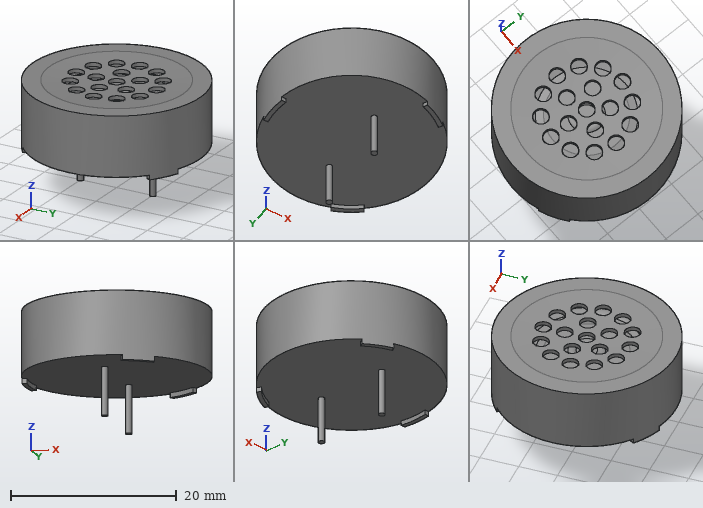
import cadquery as cq
import math

OUTER_RADIUS = 11.5
HOUSING_HEIGHT = 8.0

DISH_RADIUS = 9.15
DISH_DEPTH = 0.23
GRILLE_THICKNESS = 0.5

HOLE_DIAMETER = 2.0
INNER_RING_RADIUS = 2.83
INNER_RING_COUNT = 5
OUTER_RING_RADIUS = 5.6
OUTER_RING_COUNT = 12
RING_START_ANGLE = -90.0

DIAPHRAGM_DEPTH = 2.16
CENTRE_RIDGE_INNER_RADIUS = 1.29
CENTRE_RIDGE_OUTER_RADIUS = 2.28
CENTRE_RIDGE_RISE = 0.15
GROOVE_INNER_RADIUS = 5.2
GROOVE_BOTTOM_RADIUS = 6.19
GROOVE_OUTER_RADIUS = 7.13
GROOVE_DEPTH = 0.15
OUTER_RIDGE_OUTER_RADIUS = 8.4
OUTER_RIDGE_RISE = 0.18

FOOT_COUNT = 3
FOOT_FIRST_ANGLE = 60.0
FOOT_WIDTH = 4.0
FOOT_HEIGHT = 0.6
FOOT_INNER_RADIUS = 10.9

PIN_DIAMETER = 0.8
PIN_LENGTH = 6.0
PIN_SPACING = 10.05

DISH_CENTRE_Z = HOUSING_HEIGHT - DISH_DEPTH
DIAPHRAGM_Z = HOUSING_HEIGHT - DIAPHRAGM_DEPTH
GROOVE_BOTTOM_Z = DIAPHRAGM_Z - GROOVE_DEPTH


def dish_height(radius):
    """Height of the spherical dish above its lowest point."""
    sphere_radius = (DISH_RADIUS**2 + DISH_DEPTH**2) / (2 * DISH_DEPTH)
    return sphere_radius - math.sqrt(sphere_radius**2 - radius**2)


def dish():
    """Shallow spherical hollow in the top face."""
    half_radius = DISH_RADIUS / 2
    return (
        cq.Workplane("XZ")
        .moveTo(0, DISH_CENTRE_Z)
        .threePointArc(
            (half_radius, DISH_CENTRE_Z + dish_height(half_radius)),
            (DISH_RADIUS, HOUSING_HEIGHT),
        )
        .lineTo(0, HOUSING_HEIGHT)
        .close()
        .revolve(360, (0, 0, 0), (0, 1, 0))
    )


def cavity():
    """Hollow between the grille and the corrugated diaphragm."""
    half_radius = DISH_RADIUS / 2
    ceiling_centre_z = DISH_CENTRE_Z - GRILLE_THICKNESS
    ceiling_edge_z = HOUSING_HEIGHT - GRILLE_THICKNESS
    centre_crest_radius = (CENTRE_RIDGE_INNER_RADIUS + CENTRE_RIDGE_OUTER_RADIUS) / 2
    outer_crest_radius = (GROOVE_OUTER_RADIUS + OUTER_RIDGE_OUTER_RADIUS) / 2
    return (
        cq.Workplane("XZ")
        .moveTo(0, DIAPHRAGM_Z)
        .lineTo(CENTRE_RIDGE_INNER_RADIUS, DIAPHRAGM_Z)
        .threePointArc(
            (centre_crest_radius, DIAPHRAGM_Z + CENTRE_RIDGE_RISE),
            (CENTRE_RIDGE_OUTER_RADIUS, DIAPHRAGM_Z),
        )
        .lineTo(GROOVE_INNER_RADIUS, DIAPHRAGM_Z)
        .lineTo(GROOVE_BOTTOM_RADIUS, GROOVE_BOTTOM_Z)
        .lineTo(GROOVE_OUTER_RADIUS, DIAPHRAGM_Z)
        .threePointArc(
            (outer_crest_radius, DIAPHRAGM_Z + OUTER_RIDGE_RISE),
            (OUTER_RIDGE_OUTER_RADIUS, DIAPHRAGM_Z),
        )
        .lineTo(DISH_RADIUS, DIAPHRAGM_Z)
        .lineTo(DISH_RADIUS, ceiling_edge_z)
        .threePointArc(
            (half_radius, ceiling_centre_z + dish_height(half_radius)),
            (0, ceiling_centre_z),
        )
        .close()
        .revolve(360, (0, 0, 0), (0, 1, 0))
    )


def sound_holes():
    """Cylinders that pierce the grille and end inside the cavity."""
    cutter_depth = DISH_DEPTH + GRILLE_THICKNESS
    top = cq.Workplane("XY").workplane(offset=HOUSING_HEIGHT)
    points = [(0, 0)]
    for radius, count in (
        (INNER_RING_RADIUS, INNER_RING_COUNT),
        (OUTER_RING_RADIUS, OUTER_RING_COUNT),
    ):
        for index in range(count):
            angle = math.radians(RING_START_ANGLE + index * 360 / count)
            points.append((radius * math.cos(angle), radius * math.sin(angle)))
    return top.pushPoints(points).circle(HOLE_DIAMETER / 2).extrude(-cutter_depth)


def feet():
    """Short arcs of the rim that stand below the underside."""
    rim = (
        cq.Workplane("XY")
        .circle(OUTER_RADIUS)
        .circle(FOOT_INNER_RADIUS)
        .extrude(-FOOT_HEIGHT)
    )
    blocks = cq.Workplane("XY")
    for index in range(FOOT_COUNT):
        block = (
            cq.Workplane("XY")
            .center(OUTER_RADIUS / 2, 0)
            .rect(OUTER_RADIUS, FOOT_WIDTH)
            .extrude(-FOOT_HEIGHT)
            .rotate((0, 0, 0), (0, 0, 1), FOOT_FIRST_ANGLE + index * 360 / FOOT_COUNT)
        )
        blocks = blocks.add(block)
    return rim.intersect(blocks.combine())


def make_housing():
    body = cq.Workplane("XY").circle(OUTER_RADIUS).extrude(HOUSING_HEIGHT)
    return body.union(feet()).cut(dish()).cut(cavity()).cut(sound_holes())


def make_pin(y):
    """Round contact pin that hangs from the underside of the housing."""
    return cq.Workplane("XY").center(0, y).circle(PIN_DIAMETER / 2).extrude(-PIN_LENGTH)


housing = make_housing()
pins = [make_pin(side * PIN_SPACING / 2) for side in (-1, 1)]

result = cq.Compound.makeCompound([housing.val(), *[pin.val() for pin in pins]])